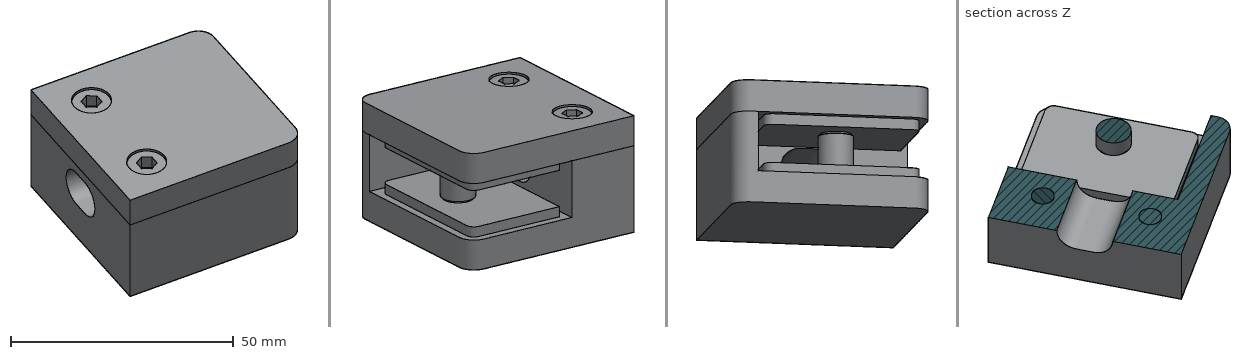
import cadquery as cq
import math

width = 45.0
depth = 45.0
height = 28.0
corner_radius = 4.0

end_wall_thickness = 5.5
slot_width = width - end_wall_thickness
slot_height = 13.6
slot_depth = 28.0
jaw_thickness = (height - slot_height) / 2
slot_top = height - jaw_thickness
slot_floor_y = depth - slot_depth

passage_width = 13.0
passage_height = 9.0

pad_thickness = 2.45
pad_margin = 2.0
pad_length = 24.0
pad_corner_radius = corner_radius - pad_margin

pin_diameter = 8.0
pin_end_diameter = 7.0
pin_end_length = 0.5
pin_x = slot_width / 2
pin_y = 34.42
pin_length = slot_height - 2 * pad_thickness

screw_inset = 10.0
head_diameter = 9.0
head_height = 5.0
head_recess = 0.3
head_top = height - head_recess
head_edge_radius = 0.5
shank_diameter = 5.0
shank_length = 12.0
socket_across_flats = 4.0
socket_depth = 3.0
socket_across_corners = socket_across_flats / math.cos(math.pi / 6)
screw_positions = [(screw_inset, screw_inset), (width - screw_inset, screw_inset)]


def make_slab(bottom, thickness):
    """Full-size slab with its two jaw-tip corners rounded."""
    slab = cq.Workplane("XY", origin=(0, 0, bottom)).rect(width, depth, centered=False).extrude(thickness)
    return slab.edges("|Z and >Y").fillet(corner_radius)


def make_cylinder(x, y, bottom, diameter, length):
    return cq.Workplane("XY", origin=(x, y, bottom)).circle(diameter / 2).extrude(length)


def make_screw_blank(x, y):
    """Plain head and shank, with the head just below the top of the plate."""
    head_bottom = head_top - head_height
    head = make_cylinder(x, y, head_bottom, head_diameter, head_height)
    shank = make_cylinder(x, y, head_bottom - shank_length, shank_diameter, shank_length)
    return head.union(shank)


def make_block():
    """Lower jaw, back wall and end wall, with the passage and the screw holes."""
    slot = cq.Workplane("XY", origin=(0, slot_floor_y, jaw_thickness)).box(
        slot_width, slot_depth, slot_height, centered=False
    )
    passage = (
        cq.Workplane("XZ", origin=(width / 2, 0, height / 2))
        .slot2D(passage_width, passage_height)
        .extrude(-slot_floor_y)
    )
    block = make_slab(0, slot_top).cut(slot).cut(passage)
    for x, y in screw_positions:
        block = block.cut(make_screw_blank(x, y))
    return block


def make_plate():
    """Upper jaw, counterbored for the screws."""
    plate = make_slab(slot_top, jaw_thickness)
    for x, y in screw_positions:
        recess = make_cylinder(x, y, head_top, head_diameter, head_recess)
        plate = plate.cut(make_screw_blank(x, y)).cut(recess)
    return plate


def make_pad(bottom):
    pad = cq.Workplane("XY", origin=(pad_margin, depth - pad_margin - pad_length, bottom)).box(
        slot_width - 2 * pad_margin, pad_length, pad_thickness, centered=False
    )
    return pad.edges("|Z and >Y").fillet(pad_corner_radius)


def make_pin():
    """Cylinder with a narrower step at each end, touching both pads."""
    pin_bottom = jaw_thickness + pad_thickness
    core = make_cylinder(pin_x, pin_y, pin_bottom, pin_end_diameter, pin_length)
    barrel = make_cylinder(
        pin_x, pin_y, pin_bottom + pin_end_length, pin_diameter, pin_length - 2 * pin_end_length
    )
    return core.union(barrel)


def make_screw(x, y):
    """Screw with a rounded head edge and a hexagon socket."""
    screw = make_screw_blank(x, y).edges(">Z").fillet(head_edge_radius)
    socket = cq.Workplane("XY", origin=(x, y, head_top)).polygon(6, socket_across_corners).extrude(-socket_depth)
    return screw.cut(socket)


block = make_block()
plate = make_plate()
pads = [make_pad(bottom) for bottom in (jaw_thickness, slot_top - pad_thickness)]
pin = make_pin()
screws = [make_screw(x, y) for x, y in screw_positions]

result = cq.Compound.makeCompound(
    [
        block.val(),
        plate.val(),
        *[pad.val() for pad in pads],
        pin.val(),
        *[screw.val() for screw in screws],
    ]
)